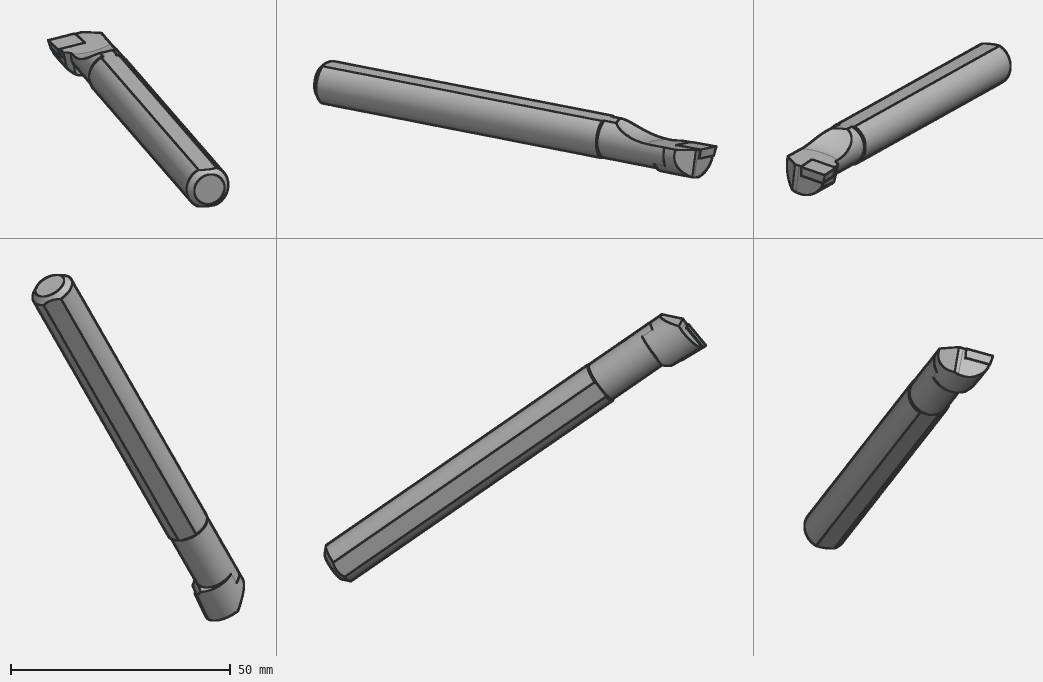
import cadquery as cq
import math

LENGTH = 100.0
SHANK_RADIUS = 5.0
FLAT_HEIGHT = 4.5
SHANK_START = 24.5
SHOULDER_CHAMFER = 0.25
END_CHAMFER = 1.4

NECK_RADIUS = 4.8
NECK_OFFSET = 0.1
NECK_START = 7.0

HEAD_RADIUS = 5.8
HEAD_CENTRE_Y = -1.0
HEAD_CENTRE_Z = 0.1
HEAD_LENGTH = 10.2
HEAD_DEPTH = 9.0
HEAD_TOP_Y = 8.0
HEAD_RELIEF = 4.0
NOSE_X = 0.7
NOSE_TOP_Y = 1.0
NOSE_LOW_Y = -0.1
TOE_X = 0.3
TOE_Y = -6.8
HEEL_X = 8.6
HEEL_Y = -6.2
HEEL_END_Y = -4.7
CORNER_SLOPE = 1.07

RAKE_TILT = 9.7
RAKE_HEIGHT = 1.2

CLEARANCE_X = 4.3
CLEARANCE_RADIUS = 8.2
CLEARANCE_BLEND = 15.0
CLEARANCE_HEIGHT = 8.0

INSERT_SIDE = 6.4
INSERT_THICKNESS = 2.2
INSERT_RELIEF = 7.0
INSERT_LEAN = 3.5
INSERT_TIP_Y = -7.1

rake_plane = cq.Plane(
    origin=(0, 0, RAKE_HEIGHT),
    xDir=(1, 0, 0),
    normal=(0, -math.sin(math.radians(RAKE_TILT)), math.cos(math.radians(RAKE_TILT))),
)


def bar_along_x(radius, start, end, y=0.0, z=0.0):
    return cq.Workplane("YZ", origin=(start, y, z)).circle(radius).extrude(end - start)


def make_shank():
    length = LENGTH - SHANK_START
    shank = bar_along_x(SHANK_RADIUS, SHANK_START, LENGTH)
    shank = shank.faces("<X").chamfer(SHOULDER_CHAMFER)
    shank = shank.faces(">X").chamfer(END_CHAMFER)
    between_flats = cq.Workplane("XY").box(length, 2 * SHANK_RADIUS, 2 * FLAT_HEIGHT)
    return shank.intersect(between_flats.translate((SHANK_START + length / 2, 0, 0)))


def make_neck():
    """Round neck carrying on the upper flat of the shank."""
    length = SHANK_START - NECK_START
    height = FLAT_HEIGHT + NECK_RADIUS
    below_flat = cq.Workplane("XY").box(length, 2 * NECK_RADIUS, height)
    below_flat = below_flat.translate((NECK_START + length / 2, NECK_OFFSET, FLAT_HEIGHT - height / 2))
    return bar_along_x(NECK_RADIUS, NECK_START, SHANK_START, NECK_OFFSET).intersect(below_flat)


def make_head():
    corner_end_x = NOSE_X + (HEAD_TOP_Y - NOSE_TOP_Y) / CORNER_SLOPE
    outline = [
        (NOSE_X, NOSE_TOP_Y),
        (NOSE_X, NOSE_LOW_Y),
        (TOE_X, TOE_Y),
        (HEEL_X, HEEL_Y),
        (HEAD_LENGTH, HEEL_END_Y),
        (HEAD_LENGTH, HEAD_TOP_Y),
        (corner_end_x, HEAD_TOP_Y),
    ]
    relieved = cq.Workplane(rake_plane).polyline(outline).close().extrude(-HEAD_DEPTH, taper=HEAD_RELIEF)
    return relieved.intersect(
        bar_along_x(HEAD_RADIUS, 0, HEAD_LENGTH, HEAD_CENTRE_Y, HEAD_CENTRE_Z)
    )


def make_chip_clearance():
    def blend_point(height):
        reach = math.sqrt(CLEARANCE_BLEND**2 - (CLEARANCE_BLEND - height) ** 2)
        return (CLEARANCE_RADIUS + reach, height)

    profile_plane = cq.Plane(
        origin=rake_plane.toWorldCoords((CLEARANCE_X, 0, 0)),
        xDir=(1, 0, 0),
        normal=-rake_plane.yDir,
    )
    return (
        cq.Workplane(profile_plane)
        .lineTo(CLEARANCE_RADIUS, 0)
        .threePointArc(blend_point(CLEARANCE_HEIGHT / 4), blend_point(CLEARANCE_HEIGHT))
        .lineTo(0, CLEARANCE_HEIGHT)
        .close()
        .revolve(360, (0, 0, 0), (0, 1, 0))
    )


def make_insert():
    """Rhombic plate with relieved sides, its acute cutting tip at X = 0."""
    along = INSERT_SIDE * math.cos(math.radians(INSERT_LEAN))
    across = INSERT_SIDE * math.sin(math.radians(INSERT_LEAN))
    return (
        cq.Workplane(rake_plane)
        .center(0, INSERT_TIP_Y)
        .polyline([(0, 0), (along, across), (along + across, along + across), (across, along)])
        .close()
        .extrude(-INSERT_THICKNESS, taper=INSERT_RELIEF)
    )


def make_holder(insert):
    holder = make_shank().union(make_neck()).union(make_head())
    return holder.cut(make_chip_clearance()).cut(insert)


insert = make_insert()
holder = make_holder(insert)
result = cq.Compound.makeCompound([holder.solids().val(), insert.val()])